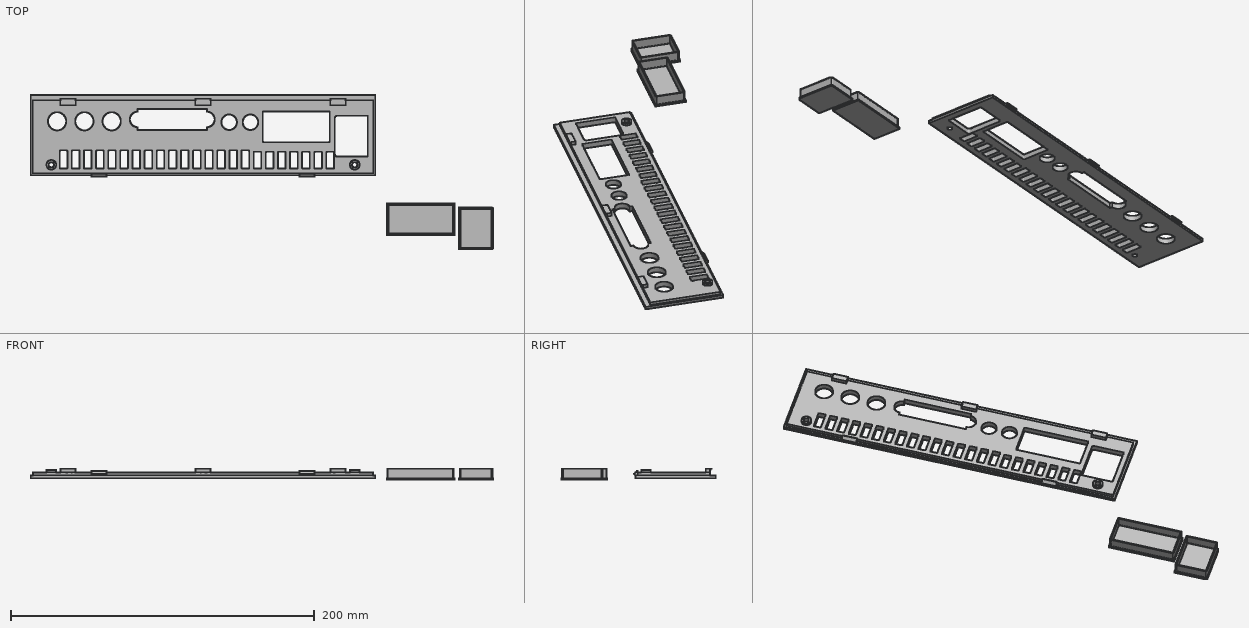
import cadquery as cq
overall_length = 304.8
overall_depth = 101.8

panel_length = 227.0
panel_depth = 53.0
panel_base_z = 0.98
layer_height = 1.98
step_side = 1.5
step_back = 3.7
panel_top_z = panel_base_z + 2 * layer_height
panel_mid_x = panel_length / 2
upper_back_y = panel_depth - step_back

jack_diameter = 12.0
jack_first_x = 17.5
jack_pitch = 18.0
jack_count = 3
jack_y = 35.7
small_hole_diameter = 10.0
small_hole_first_x = 130.8
small_hole_pitch = 14.0
small_hole_count = 2
small_hole_y = 35.0

wide_opening_length = 45.7
wide_opening_height = 13.7
wide_opening_x = 93.3
wide_opening_y = 37.0
lobe_diameter = 10.0

module_length = 44.0
module_depth = 20.0
module_x = 175.0
module_y = 32.0
inlet_length = 21.5
inlet_depth = 26.8
inlet_x = 211.2
inlet_y = 26.0
inlet_corner_radius = 1.5
opening_corner_radius = 0.4

slot_count = 23
short_slot_count = 7
slot_pitch = 8.0
slot_width = 5.0
slot_first_x = 21.5
slot_front_y = 4.5
slot_length = 12.0
short_slot_length = 11.0

boss_diameter = 6.5
boss_hole_diameter = 3.5
boss_height = 1.5
boss_offset_x = 100.0
boss_y = 7.0

hook_width = 10.0
hook_pitch = 89.0
hook_depth = 3.0
hook_height = 2.5
hook_top_z = panel_top_z + hook_height
hook_lip = 1.0
ridge_width = 10.0
ridge_offset_x = 68.5
ridge_reach = 1.0
ridge_rise = 1.0

flange_height = 1.0
wall_height = hook_top_z - flange_height
flange_overhang = 0.5
wall_thickness = 0.8
wall_corner_radius = 1.0
module_cover_x = 257.0
module_cover_y = -29.0
inlet_cover_x = overall_length - flange_overhang - inlet_length / 2
inlet_cover_y = panel_depth - overall_depth + flange_overhang + inlet_depth / 2

cut_height = 9.0


def box(length, depth, height, x, y, z):
    """Box centred on (x, y) that stands on height z."""
    return cq.Workplane("XY").box(length, depth, height, centered=(True, True, False)).translate((x, y, z))


def cylinder(diameter, height, x, y, z):
    """Upright cylinder centred on (x, y) that stands on height z."""
    return cq.Workplane("XY").circle(diameter / 2).extrude(height).translate((x, y, z))


def bar(profile, width, x):
    """Straight bar along X, centred on x, with a section given as (y, z) points."""
    solid = cq.Workplane("YZ").polyline(profile).close().extrude(width)
    return solid.translate((x - width / 2, 0, 0))


def panel_plate():
    lower = box(panel_length, panel_depth, layer_height, panel_mid_x, panel_depth / 2, panel_base_z)
    upper_depth = upper_back_y - step_side
    upper_y = (upper_back_y + step_side) / 2
    upper_z = panel_base_z + layer_height
    upper = box(panel_length - 2 * step_side, upper_depth, layer_height, panel_mid_x, upper_y, upper_z)
    return lower.union(upper)


def through_hole(diameter, x, y):
    return cylinder(diameter, cut_height, x, y, 0)


def through_box(length, depth, x, y):
    return box(length, depth, cut_height, x, y, 0)


def cut_connector_openings(panel):
    for i in range(jack_count):
        panel = panel.cut(through_hole(jack_diameter, jack_first_x + i * jack_pitch, jack_y))
    for i in range(small_hole_count):
        x = small_hole_first_x + i * small_hole_pitch
        panel = panel.cut(through_hole(small_hole_diameter, x, small_hole_y))
    panel = panel.cut(through_box(wide_opening_length, wide_opening_height, wide_opening_x, wide_opening_y))
    for side in (-1, 1):
        x = wide_opening_x + side * wide_opening_length / 2
        panel = panel.cut(through_hole(lobe_diameter, x, wide_opening_y))
    module = through_box(module_length, module_depth, module_x, module_y)
    panel = panel.cut(module.edges("|Z").fillet(opening_corner_radius))
    inlet = through_box(inlet_length, inlet_depth, inlet_x, inlet_y)
    inlet = inlet.edges("|Z and <X").fillet(inlet_corner_radius)
    return panel.cut(inlet.edges("|Z and >X").fillet(opening_corner_radius))


def cut_slots(panel):
    for i in range(slot_count):
        length = slot_length if i < slot_count - short_slot_count else short_slot_length
        x = slot_first_x + i * slot_pitch
        slot = through_box(slot_width, length, x, slot_front_y + length / 2)
        panel = panel.cut(slot.edges("|Z").fillet(opening_corner_radius))
    return panel


def add_bosses(panel):
    for side in (-1, 1):
        x = panel_mid_x + side * boss_offset_x
        panel = panel.union(cylinder(boss_diameter, boss_height, x, boss_y, panel_top_z))
        panel = panel.cut(through_hole(boss_hole_diameter, x, boss_y))
    return panel


def hook(x):
    """Hook on the back edge of the upper layer, with a 45 degree lip that reaches over the step."""
    front_y = upper_back_y - hook_depth
    profile = [
        (front_y, panel_top_z),
        (upper_back_y, panel_top_z),
        (upper_back_y, hook_top_z - hook_lip),
        (upper_back_y + hook_lip, hook_top_z),
        (front_y, hook_top_z),
    ]
    return bar(profile, hook_width, x)


def ridge(x):
    """Snap ridge on the front step, with a pointed front between two 45 degree faces."""
    step_z = panel_base_z + layer_height
    tip_z = step_z + ridge_reach
    ridge_top_z = panel_top_z + ridge_rise
    profile = [
        (step_side, step_z),
        (0, step_z),
        (-ridge_reach, tip_z),
        (ridge_top_z - tip_z - ridge_reach, ridge_top_z),
        (step_side, ridge_top_z),
    ]
    return bar(profile, ridge_width, x)


def make_panel():
    panel = cut_slots(cut_connector_openings(panel_plate()))
    panel = add_bosses(panel)
    for i in (-1, 0, 1):
        panel = panel.union(hook(panel_mid_x + i * hook_pitch))
    for side in (-1, 1):
        panel = panel.union(ridge(panel_mid_x + side * ridge_offset_x))
    return panel


def cover_flange(length, depth, x, y):
    """Floor of a cover, which overhangs a length x depth opening on all sides."""
    return box(length + 2 * flange_overhang, depth + 2 * flange_overhang, flange_height, x, y, 0)


def cover_wall(length, depth, x, y):
    """Solid block that fills a length x depth opening and stands on the flange."""
    return box(length, depth, wall_height, x, y, flange_height)


def cover_inside(length, depth, x, y):
    """Cavity inside the wall of a cover, open at the top."""
    inset = 2 * wall_thickness
    return box(length - inset, depth - inset, wall_height, x, y, flange_height)


def make_module_cover():
    place = (module_length, module_depth, module_cover_x, module_cover_y)
    wall = cover_wall(*place).edges("|Z").fillet(wall_corner_radius)
    return cover_flange(*place).union(wall).cut(cover_inside(*place))


def make_inlet_cover():
    """The larger corners are on the +X side, mirrored from the opening, as the cover is upside down."""
    place = (inlet_length, inlet_depth, inlet_cover_x, inlet_cover_y)
    flange = cover_flange(*place).edges("|Z and >X").fillet(inlet_corner_radius)
    wall = cover_wall(*place).edges("|Z and >X").fillet(inlet_corner_radius)
    wall = wall.edges("|Z and <X").fillet(wall_corner_radius)
    return flange.union(wall).cut(cover_inside(*place))


panel = make_panel()
module_cover = make_module_cover()
inlet_cover = make_inlet_cover()

result = cq.Compound.makeCompound([panel.val(), module_cover.val(), inlet_cover.val()])